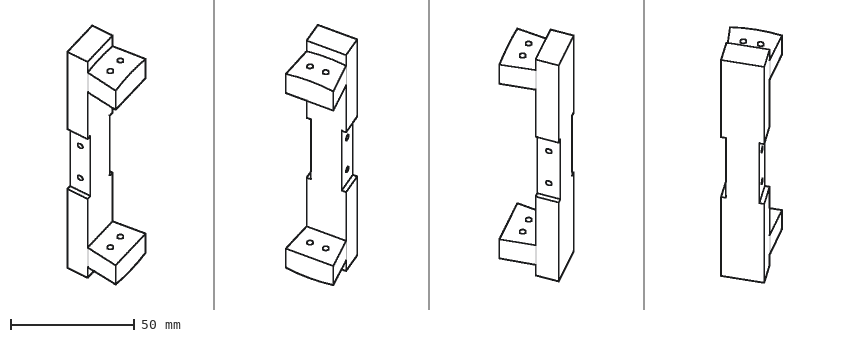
import cadquery as cq
import math

bar_depth = 10.0
bar_width = 18.0
lower_length = 46.24
grip_length = 35.0
upper_length = 45.24
grip_width = 14.0
grip_bottom = lower_length
grip_top = grip_bottom + grip_length
bar_length = grip_top + upper_length
bar_middle = bar_length / 2

grip_hole_diameter = 2.5
grip_hole_spacing = 18.7

foot_reach = 15.0
foot_flare_angle = 7.0
foot_inner_width = bar_width
foot_outer_width = foot_inner_width + 2 * foot_reach * math.tan(math.radians(foot_flare_angle))
crown_radius = 57.75
foot_base_offset = 45.5
foot_hole_diameter = 2.5
foot_hole_spacing = 7.2
foot_hole_x = bar_depth + foot_reach / 2


def bar_block(width, bottom, length):
    """Rectangular length of the bar, centred on Y = 0."""
    return cq.Workplane("XY", origin=(bar_depth / 2, 0, bottom)).rect(bar_depth, width).extrude(length)


def make_bar():
    lower = bar_block(bar_width, 0, lower_length)
    grip = bar_block(grip_width, grip_bottom, grip_length)
    upper = bar_block(bar_width, grip_top, upper_length)
    return lower.union(grip).union(upper)


def make_feet():
    """Both feet: a flared column cut to the crown cylinder, with the space between them removed."""
    outer_x = bar_depth + foot_reach
    plan = [
        (bar_depth, -foot_inner_width / 2),
        (outer_x, -foot_outer_width / 2),
        (outer_x, foot_outer_width / 2),
        (bar_depth, foot_inner_width / 2),
    ]
    column = cq.Workplane("XY").polyline(plan).close().extrude(bar_length)
    crown = (
        cq.Workplane("YZ")
        .center(0, bar_middle)
        .circle(crown_radius)
        .extrude(outer_x)
    )
    gap_length = 2 * foot_base_offset
    gap = cq.Workplane("XY", origin=(0, 0, bar_middle)).box(2 * outer_x, foot_outer_width, gap_length)
    return column.intersect(crown).cut(gap)


def make_grip_holes():
    return (
        cq.Workplane("XZ", origin=(bar_depth / 2, 0, bar_middle))
        .rarray(1, grip_hole_spacing, 1, 2)
        .circle(grip_hole_diameter / 2)
        .extrude(bar_width, both=True)
    )


def make_foot_holes():
    return (
        cq.Workplane("XY", origin=(foot_hole_x, 0, 0))
        .rarray(1, foot_hole_spacing, 1, 2)
        .circle(foot_hole_diameter / 2)
        .extrude(bar_length)
    )


result = make_bar().union(make_feet()).cut(make_grip_holes()).cut(make_foot_holes())